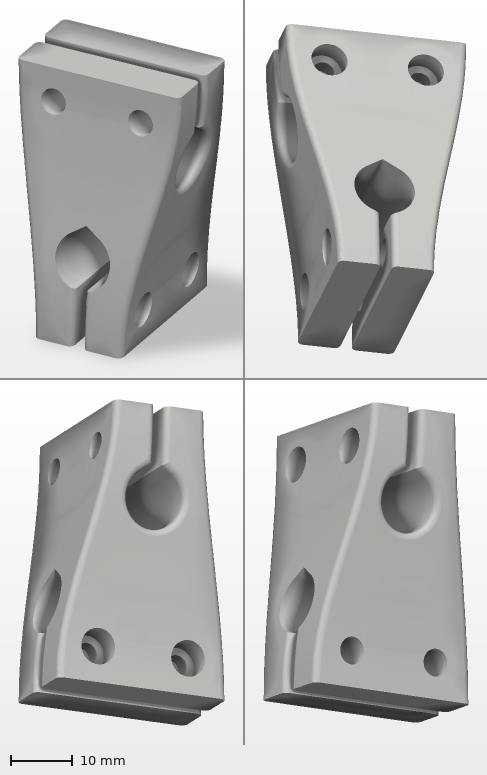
import cadquery as cq
import math

height = 46.0
wide = 30.0
narrow = 16.0
edge_radius = 1.0

bore_radius = 5.0
bore_offset = 15.0
slot_width = 1.95
roof_angle = 33.0

screw_spacing = 16.0
screw_offset = 6.0
insert_diameter = 4.5
screw_diameter = 3.5
head_diameter = 6.0
head_seat = 4.0

through = 2 * wide
end_margin = 0.45


def wedge(plane, wide_z, narrow_z):
    """Prism whose sides sweep in an S-curve from the wide end to the narrow end."""
    half_wide = wide / 2
    half_narrow = narrow / 2
    third = (narrow_z - wide_z) / 3
    wide_pull = wide_z + third
    narrow_pull = narrow_z - third
    return (
        cq.Workplane(plane)
        .workplane(offset=-through / 2)
        .moveTo(-half_wide, wide_z)
        .lineTo(half_wide, wide_z)
        .bezier([(half_wide, wide_z), (half_wide, wide_pull),
                 (half_narrow, narrow_pull), (half_narrow, narrow_z)])
        .lineTo(-half_narrow, narrow_z)
        .bezier([(-half_narrow, narrow_z), (-half_narrow, narrow_pull),
                 (-half_wide, wide_pull), (-half_wide, wide_z)])
        .close()
        .extrude(through)
    )


def pointed_bore(plane, axis_z):
    """Rod bore with a gabled roof tangent to its round part."""
    angle = math.radians(roof_angle)
    side = bore_radius * math.sin(angle)
    rise = bore_radius * math.cos(angle)
    peak = bore_radius / math.cos(angle)
    return (
        cq.Workplane(plane)
        .workplane(offset=-through / 2)
        .center(0, axis_z)
        .moveTo(side, rise)
        .lineTo(0, peak)
        .lineTo(-side, rise)
        .threePointArc((0, -bore_radius), (side, rise))
        .close()
        .extrude(through)
    )


def screw_hole(center, direction):
    """Stepped hole: insert bore up to the middle, then screw clearance and head recess."""
    def bore(diameter, begin, end):
        position = center + direction * begin
        return cq.Workplane(obj=cq.Solid.makeCylinder(diameter / 2, end - begin, position, direction))

    reach = wide / 2
    return (
        bore(insert_diameter, -reach, 0)
        .union(bore(screw_diameter, 0, reach))
        .union(bore(head_diameter, head_seat, reach))
    )


body = wedge("XZ", height, 0).intersect(wedge("YZ", 0, height))
body = body.edges("not(<Z or >Z)").fillet(edge_radius)

lower_slot = (
    cq.Workplane("XY")
    .box(slot_width, through, bore_offset, centered=(True, True, False))
)
body = body.cut(lower_slot)
slot_reach = cq.selectors.BoxSelector(
    (-slot_width, -wide, end_margin), (slot_width, wide, bore_offset - end_margin))
body = body.edges(slot_reach).fillet(edge_radius)
body = body.cut(pointed_bore("XZ", bore_offset))

upper_bore_z = height - bore_offset
upper_slot = (
    cq.Workplane("XY", origin=(0, 0, upper_bore_z))
    .box(through, slot_width, bore_offset, centered=(True, True, False))
)
body = body.cut(upper_slot.union(pointed_bore("YZ", upper_bore_z)))
rim_reach = bore_radius + end_margin
upper_rims = cq.selectors.BoxSelector(
    (-wide, -rim_reach, upper_bore_z - rim_reach), (wide, rim_reach, height - end_margin))
bore_inside = cq.selectors.BoxSelector((-narrow / 4, -wide, 0), (narrow / 4, wide, height))
body = body.edges(upper_rims - bore_inside).fillet(edge_radius)

for spot in (-screw_spacing / 2, screw_spacing / 2):
    upper_center = cq.Vector(spot, 0, height - screw_offset)
    lower_center = cq.Vector(0, spot, screw_offset)
    body = body.cut(screw_hole(upper_center, cq.Vector(0, 1, 0)))
    body = body.cut(screw_hole(lower_center, cq.Vector(1, 0, 0)))

result = body